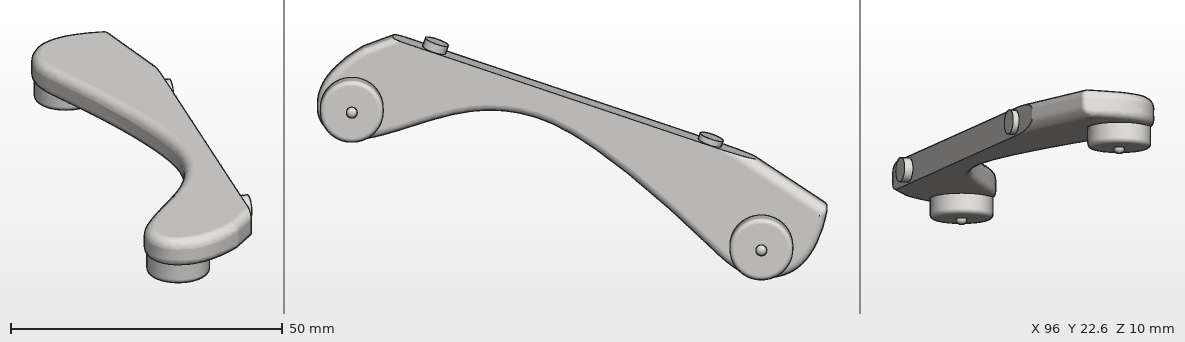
import cadquery as cq

PLATE_THICKNESS = 5.2
TOP_FILLET = 1.7
BOTTOM_FILLET = 1.25

FRONT_CURVE = [
    (1.7, 0),
    (0, -9.6),
    (2.8, -18.0),
    (9.7, -21.0),
    (18.2, -18.4),
    (33.1, -11.8),
    (45.1, -7.6),
    (56.2, -5.7),
    (66.0, -7.4),
    (75.9, -13.2),
    (83.8, -18.9),
    (89.3, -21.0),
    (94.4, -19.0),
    (96, -14.0),
    (94.4, -8.45),
    (91.1, -3.7),
]
BACK_RIGHT = (86.6, 0)

CUT_START = (15.8, 0)
CUT_ANGLE = 15
CUT_BOTTOM_FILLET = 2.0
CUT_BLOCK_SIZE = 288.1

LEFT_CORNER = (0.5, -4.0)
CORNER_FILLET = 1

FOOT_DIAMETER = 11.6
FOOT_HEIGHT = 3.7
FOOT_RECESS_DEPTH = BOTTOM_FILLET
FOOT_FILLET = 0.9
FOOT_CENTERS = [(9.7, -14.8), (89.6, -14.8)]
TIP_DIAMETER = 2.0
TIP_HEIGHT = 1.1
TIP_FILLET = 0.9

PIN_DIAMETER = 4.5
PINS = [(24.9, 1.2), (78.65, 1.6)]


def make_cut_block():
    """Large block whose slanted, rounded back face bounds the plate at its back left corner."""
    block = (
        cq.Workplane("XY")
        .box(CUT_BLOCK_SIZE, CUT_BLOCK_SIZE, PLATE_THICKNESS, centered=(True, False, False))
        .translate((0, -CUT_BLOCK_SIZE, 0))
    )
    block = block.edges(">Y and >Z").fillet(TOP_FILLET)
    block = block.edges(">Y and <Z").fillet(CUT_BOTTOM_FILLET)
    return block.rotate((0, 0, 0), (0, 0, 1), CUT_ANGLE).translate((*CUT_START, 0))


def make_plate():
    left_end, *rest_of_curve = FRONT_CURVE
    outline = (
        cq.Workplane("XY")
        .moveTo(*left_end)
        .spline(rest_of_curve, includeCurrent=True)
        .lineTo(*BACK_RIGHT)
        .close()
    )
    plate = outline.extrude(PLATE_THICKNESS)
    plate = plate.faces(">Z").edges("not >Y").fillet(TOP_FILLET)
    plate = plate.faces("<Z").edges("not >Y").fillet(BOTTOM_FILLET)
    plate = plate.intersect(make_cut_block())
    corner = cq.selectors.NearestToPointSelector((*LEFT_CORNER, PLATE_THICKNESS / 2))
    return plate.edges(corner).fillet(CORNER_FILLET)


def make_foot(center):
    pad = (
        cq.Workplane("XY", origin=(*center, -FOOT_HEIGHT))
        .circle(FOOT_DIAMETER / 2)
        .extrude(FOOT_HEIGHT + FOOT_RECESS_DEPTH)
    )
    pad = pad.faces("<Z").edges().fillet(FOOT_FILLET)
    foot = pad.faces("<Z").workplane().circle(TIP_DIAMETER / 2).extrude(TIP_HEIGHT)
    return foot.faces("<Z").edges().fillet(TIP_FILLET)


def make_pin(x, length):
    return (
        cq.Workplane("XZ", origin=(x, 0, PLATE_THICKNESS / 2))
        .circle(PIN_DIAMETER / 2)
        .extrude(-length)
    )


feet = [make_foot(center) for center in FOOT_CENTERS]
pins = [make_pin(x, length) for x, length in PINS]

plate = make_plate()
for foot in feet:
    plate = plate.cut(foot)

result = cq.Compound.makeCompound([plate.val(), *[body.val() for body in feet + pins]])